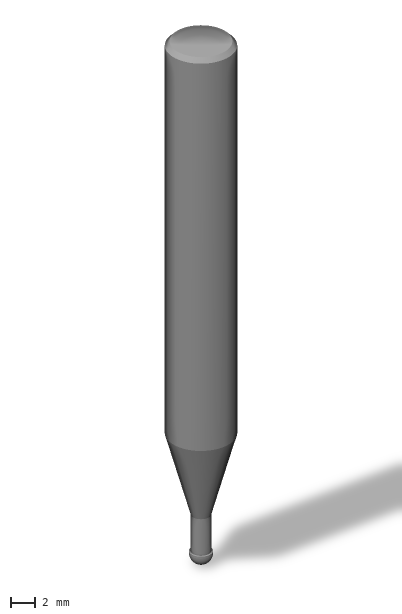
import cadquery as cq

total_length = 50
shank_diameter = 6
ball_diameter = 2
neck_diameter = 1.7

head_height = 1.2
taper_start = 4.7
taper_end = 12.5
end_chamfer = 0.4

shank_radius = shank_diameter / 2
ball_radius = ball_diameter / 2
neck_radius = neck_diameter / 2


def make_shank():
    """Cylindrical shank tapering to a slim neck that ends on the cutting head."""
    return (
        cq.Workplane("XZ")
        .moveTo(0, head_height)
        .lineTo(neck_radius, head_height)
        .lineTo(neck_radius, taper_start)
        .lineTo(shank_radius, taper_end)
        .lineTo(shank_radius, total_length - end_chamfer)
        .lineTo(shank_radius - end_chamfer, total_length)
        .lineTo(0, total_length)
        .close()
        .revolve(360, (0, 0), (0, 1))
    )


def make_cutting_head():
    """Hemispherical tip below a short cylindrical band."""
    arc_mid = ball_radius * 0.5**0.5
    return (
        cq.Workplane("XZ")
        .threePointArc((arc_mid, ball_radius - arc_mid), (ball_radius, ball_radius))
        .lineTo(ball_radius, head_height)
        .lineTo(0, head_height)
        .close()
        .revolve(360, (0, 0), (0, 1))
    )


shank = make_shank()
cutting_head = make_cutting_head()

result = cq.Compound.makeCompound([shank.val(), cutting_head.val()])